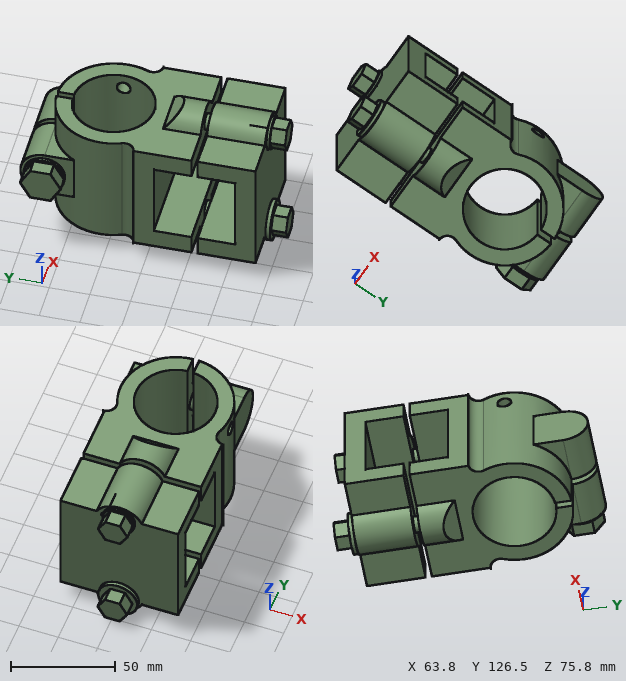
import cadquery as cq
import math


bore_diameter = 40.0
ring_radius = 28.0
slit_width = 3.0
fillet_radius = 4.9

block_half_width = 30.0
window_size = 40.0
window_back_y = -27.0
wall_thickness = 10.0
block_height = window_size + 2 * wall_thickness
window_centre_y = window_back_y - window_size / 2
shoulder_y = window_back_y + wall_thickness
block_front_y = window_back_y - window_size - wall_thickness

lug_radius = 12.0
lug_half_length = 24.5
lug_axis_y = ring_radius

ridge_radius = 12.75
ridge_axis_z = 24.5

shaft_embedment = 3.0

lug_bolt_diameter = 10.0
lug_washer_diameter = 20.0
lug_washer_thickness = 1.75
lug_head_corners = 20.0
lug_head_height = 7.0

block_bolt_diameter = 8.0
block_bolt_z = 28.5
block_head_corners = 15.0
top_washer_diameter = 16.2
top_washer_thickness = 1.5
bottom_washer_diameter = 20.0
bottom_washer_thickness = 2.2
top_head_height = 7.5
bottom_head_height = 7.3

pocket_corners = 16.6
pocket_depth = 8.5
pocket_offset_x = -0.9

screw_hole_diameter = 6.65
screw_hole_z = 22.0


def box_between(x_range, y_range, z_range):
    """Box given by its lower and upper bound on each axis."""
    bounds = (x_range, y_range, z_range)
    sizes = [high - low for low, high in bounds]
    low_corner = tuple(low for low, high in bounds)
    return cq.Workplane("XY").box(*sizes, centered=False).translate(low_corner)


def make_body():
    """Ring and block as one upright prism, joined by concave fillets.

    Each fillet ends level with the shoulder, in a thin lip just outside the block side.
    """
    centre_distance = ring_radius + fillet_radius
    fillet_centre_y = shoulder_y + fillet_radius
    fillet_centre_x = math.sqrt(centre_distance**2 - fillet_centre_y**2)
    fillet_angle = math.atan2(-fillet_centre_y, fillet_centre_x)
    tangent_x = ring_radius * math.cos(fillet_angle)
    tangent_y = -ring_radius * math.sin(fillet_angle)
    middle_angle = (math.pi - fillet_angle + 1.5 * math.pi) / 2
    middle_x = fillet_centre_x + fillet_radius * math.cos(middle_angle)
    middle_y = fillet_centre_y + fillet_radius * math.sin(middle_angle)
    outline = (
        cq.Workplane("XY")
        .moveTo(-block_half_width, block_front_y)
        .lineTo(block_half_width, block_front_y)
        .lineTo(block_half_width, shoulder_y)
        .lineTo(fillet_centre_x, shoulder_y)
        .threePointArc((middle_x, middle_y), (tangent_x, tangent_y))
        .threePointArc((0, ring_radius), (-tangent_x, tangent_y))
        .threePointArc((-middle_x, middle_y), (-fillet_centre_x, shoulder_y))
        .lineTo(-block_half_width, shoulder_y)
        .close()
    )
    return outline.extrude(block_height / 2, both=True)


def make_lug():
    """Lug along X: square towards the ring, rounded on its outer side."""
    round_end = (
        cq.Workplane("YZ")
        .center(lug_axis_y, 0)
        .circle(lug_radius)
        .extrude(lug_half_length, both=True)
    )
    ring_edge_y = math.sqrt(ring_radius**2 - lug_half_length**2)
    square_end = box_between(
        (-lug_half_length, lug_half_length), (ring_edge_y, lug_axis_y), (-lug_radius, lug_radius)
    )
    return round_end.union(square_end)


def make_ridge(side):
    """Part-round ridge along Y on the top (side=1) or bottom (side=-1), sloped at its back end."""
    face_z = block_height / 2
    crest_z = ridge_axis_z + ridge_radius
    ridge = (
        cq.Workplane("XZ", origin=(0, block_front_y, 0))
        .center(0, side * ridge_axis_z)
        .circle(ridge_radius)
        .extrude(-(window_back_y - block_front_y))
    )
    envelope = (
        cq.Workplane("YZ")
        .polyline(
            [
                (block_front_y, side * window_size / 2),
                (window_back_y, side * window_size / 2),
                (window_back_y, side * face_z),
                (window_back_y - (crest_z - face_z), side * crest_z),
                (block_front_y, side * crest_z),
            ]
        )
        .close()
        .extrude(ridge_radius, both=True)
    )
    return ridge.intersect(envelope)


def make_bolt(base, shaft_diameter, shaft_length, washer, head):
    """Bolt on a seat plane whose normal points out of the clamp."""
    washer_diameter, washer_thickness = washer
    head_corners, head_height = head
    shaft = base.circle(shaft_diameter / 2).extrude(-shaft_length)
    washer_disc = base.circle(washer_diameter / 2).extrude(washer_thickness)
    hex_head = base.workplane(offset=washer_thickness).polygon(6, head_corners).extrude(head_height)
    return shaft.union(washer_disc).union(hex_head)


def make_lug_bolt():
    seat = cq.Workplane(cq.Plane((-lug_half_length, lug_axis_y, 0), xDir=(0, 1, 0), normal=(-1, 0, 0)))
    return make_bolt(
        seat,
        lug_bolt_diameter,
        lug_half_length + shaft_embedment,
        (lug_washer_diameter, lug_washer_thickness),
        (lug_head_corners, lug_head_height),
    )


def make_block_bolt(side, washer, head_height):
    seat = cq.Workplane("XZ", origin=(0, block_front_y, side * block_bolt_z))
    shaft_length = window_centre_y + shaft_embedment - block_front_y
    return make_bolt(seat, block_bolt_diameter, shaft_length, washer, (block_head_corners, head_height))


def make_hex_pocket():
    return (
        cq.Workplane("XZ", origin=(pocket_offset_x, block_front_y, block_bolt_z))
        .polygon(6, pocket_corners)
        .extrude(-pocket_depth)
    )


def make_screw_hole():
    return cq.Workplane("YZ").center(0, screw_hole_z).circle(screw_hole_diameter / 2).extrude(ring_radius)


def make_openings():
    """Bore, window and the slits that let both clamps close."""
    cut_reach = 2 * block_height
    bore = cq.Workplane("XY").circle(bore_diameter / 2).extrude(cut_reach, both=True)
    window = box_between(
        (-cut_reach, cut_reach),
        (window_back_y - window_size, window_back_y),
        (-window_size / 2, window_size / 2),
    )
    ring_slit = box_between(
        (-slit_width / 2, slit_width / 2), (0, cut_reach), (-cut_reach, cut_reach)
    )
    block_slit = box_between(
        (-cut_reach, cut_reach),
        (window_centre_y - slit_width / 2, window_centre_y + slit_width / 2),
        (-cut_reach, cut_reach),
    )
    return bore.union(window).union(ring_slit).union(block_slit)


clamp = make_body().union(make_lug()).union(make_ridge(1)).union(make_ridge(-1))
clamp = clamp.cut(make_openings()).cut(make_hex_pocket()).cut(make_screw_hole())

top_bolt = make_block_bolt(1, (top_washer_diameter, top_washer_thickness), top_head_height)
bottom_bolt = make_block_bolt(-1, (bottom_washer_diameter, bottom_washer_thickness), bottom_head_height)

result = clamp.union(make_lug_bolt()).union(top_bolt).union(bottom_bolt)